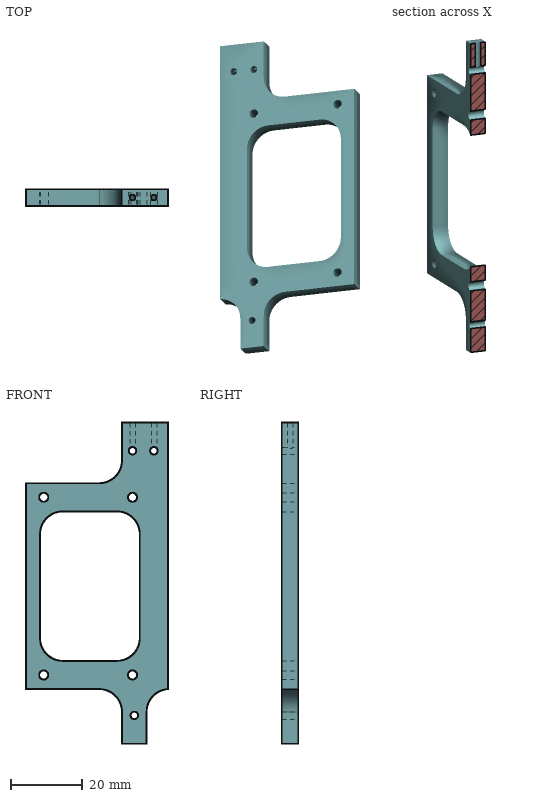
import cadquery as cq
import math

thickness = 4.76
body_width = 40.0
body_height = 58.0
overall_height = 90.48

tab_left = 27.0
upper_tab_height = 17.1
lower_tab_width = 7.0
lower_tab_height = overall_height - body_height - upper_tab_height
body_top = body_height
tab_top = body_top + upper_tab_height
tab_bottom = -lower_tab_height
lower_tab_right = tab_left + lower_tab_width
corner_radius = 6.35

window_width = 28.0
window_left = 4.0
window_inset = 8.0
window_height = body_height - 2 * window_inset

mount_hole_diameter = 2.5
mount_hole_spacing_x = 25.0
mount_hole_spacing_z = 50.0
mount_hole_left = 5.0
mount_hole_right = mount_hole_left + mount_hole_spacing_x
mount_hole_low = (body_height - mount_hole_spacing_z) / 2
mount_hole_high = mount_hole_low + mount_hole_spacing_z

tab_hole_diameter = 2.05
tab_hole_end_distance = 8.0
upper_hole_edge_distance = 3.0
upper_hole_spacing = 6.0
upper_hole_left = tab_left + upper_hole_edge_distance
upper_hole_xs = [upper_hole_left, upper_hole_left + upper_hole_spacing]
upper_hole_z = tab_top - tab_hole_end_distance
lower_hole_x = tab_left + lower_tab_width / 2
lower_hole_z = tab_bottom + tab_hole_end_distance

end_hole_diameter = 1.6
end_hole_depth = tab_hole_end_distance


def corner_arc_point(center_x, center_z, angle):
    """Point on a concave tab corner arc at an angle in degrees from +X."""
    turn = math.radians(angle)
    return (center_x + corner_radius * math.cos(turn), center_z + corner_radius * math.sin(turn))


def front_plane():
    """Plane of the front face, with its normal toward -Y."""
    return cq.Workplane("XZ")


def make_plate():
    left_center_x = tab_left - corner_radius
    right_center_x = lower_tab_right + corner_radius
    upper_center_z = body_top + corner_radius
    lower_center_z = -corner_radius
    half_turn = 180
    half_corner = 45
    right_end_angle = math.degrees(math.acos((body_width - right_center_x) / corner_radius))
    right_mid_angle = (half_turn + right_end_angle) / 2
    outline = (
        front_plane()
        .moveTo(0, 0)
        .lineTo(left_center_x, 0)
        .threePointArc(
            corner_arc_point(left_center_x, lower_center_z, half_corner),
            (tab_left, lower_center_z),
        )
        .lineTo(tab_left, tab_bottom)
        .lineTo(lower_tab_right, tab_bottom)
        .lineTo(lower_tab_right, lower_center_z)
        .threePointArc(
            corner_arc_point(right_center_x, lower_center_z, right_mid_angle),
            corner_arc_point(right_center_x, lower_center_z, right_end_angle),
        )
        .lineTo(body_width, tab_top)
        .lineTo(tab_left, tab_top)
        .lineTo(tab_left, upper_center_z)
        .threePointArc(
            corner_arc_point(left_center_x, upper_center_z, -half_corner),
            (left_center_x, body_top),
        )
        .lineTo(0, body_top)
        .close()
    )
    return outline.extrude(-thickness)


def make_window():
    return (
        front_plane()
        .center(window_left + window_width / 2, body_height / 2)
        .rect(window_width, window_height)
        .extrude(-thickness)
        .edges("|Y")
        .fillet(corner_radius)
    )


def make_through_holes(centers, diameter):
    return front_plane().pushPoints(centers).circle(diameter / 2).extrude(-thickness)


def make_end_holes():
    centers = [(x, thickness / 2) for x in upper_hole_xs]
    return (
        cq.Workplane("XY", origin=(0, 0, tab_top))
        .pushPoints(centers)
        .circle(end_hole_diameter / 2)
        .extrude(-end_hole_depth)
    )


mount_hole_centers = [
    (x, z)
    for x in (mount_hole_left, mount_hole_right)
    for z in (mount_hole_low, mount_hole_high)
]
tab_hole_centers = [(x, upper_hole_z) for x in upper_hole_xs]
tab_hole_centers.append((lower_hole_x, lower_hole_z))

result = (
    make_plate()
    .cut(make_window())
    .cut(make_through_holes(mount_hole_centers, mount_hole_diameter))
    .cut(make_through_holes(tab_hole_centers, tab_hole_diameter))
    .cut(make_end_holes())
)